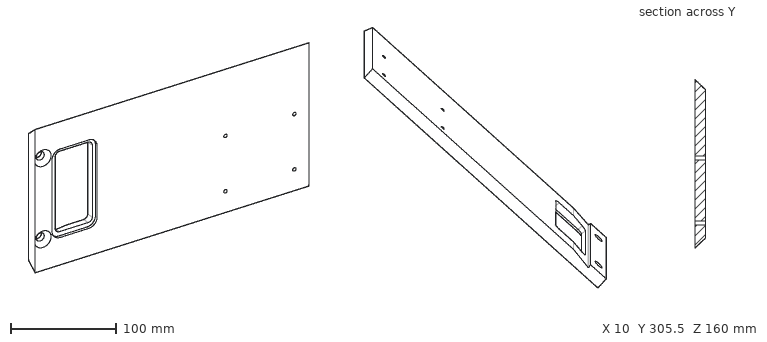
import cadquery as cq
thickness = 10.0
length = 305.5
height = 160.0
bevel_height = 9.5
end_lean = 1.5

front_x = -thickness / 2
back_x = thickness / 2
front_end_y = -length / 2
back_end_y = front_end_y + end_lean

ramp_start_y = -110.3
ramp_end_y = -132.2
ramp_depth = 3.0
ramp_corner_radius = 0.5

window_center_y = -107.5
window_length = 40.5
window_height = 89.5
window_corner_radius = 4.5

rebate_margin = 4.5
rebate_depth = 3.0

mount_hole_y = -142.5
mount_hole_spacing = 90.5
mount_hole_diameter = 9.0
countersink_diameter = 18.3
countersink_angle = 90

pin_hole_diameter = 3.7
pin_pattern_center = (98.0, -25.5)
pin_spacing_y = 76.5
pin_spacing_z = 61.7


def make_panel():
    """Panel with leaning parallel ends and bevelled long edges."""
    front_length = length - end_lean
    side_outline = (
        cq.Workplane("XY")
        .polyline([
            (front_x, front_end_y),
            (back_x, back_end_y),
            (back_x, back_end_y + front_length),
            (front_x, front_end_y + front_length),
        ])
        .close()
        .extrude(height / 2, both=True)
    )
    front_half_height = height / 2 - bevel_height
    end_outline = (
        cq.Workplane("XZ")
        .polyline([
            (front_x, -front_half_height),
            (back_x, -height / 2),
            (back_x, height / 2),
            (front_x, front_half_height),
        ])
        .close()
        .extrude(length, both=True)
    )
    return side_outline.intersect(end_outline)


def make_ramp_cut():
    """Wedge that deepens towards -Y and stops at a square wall with a rounded foot."""
    return (
        cq.Workplane("XY")
        .polyline([
            (front_x, ramp_start_y),
            (front_x + ramp_depth, ramp_end_y),
            (front_x, ramp_end_y),
        ])
        .close()
        .extrude(height / 2, both=True)
        .edges("|Z and >X")
        .fillet(ramp_corner_radius)
    )


def make_window_cut():
    """Rounded rectangle swept through the panel parallel to its leaning ends."""
    lean_plane = cq.Plane(
        origin=(front_x, window_center_y, 0),
        xDir=(-end_lean, thickness, 0),
        normal=(thickness, end_lean, 0),
    )
    return (
        cq.Workplane(lean_plane)
        .rect(window_length, window_height)
        .extrude(2 * thickness, both=True)
        .edges(cq.selectors.ParallelDirSelector(lean_plane.zDir))
        .fillet(window_corner_radius)
    )


def make_window_rebate():
    """Rounded step around the window, sunk into the back face."""
    return (
        cq.Workplane("YZ", origin=(back_x, window_center_y, 0))
        .rect(window_length + 2 * rebate_margin, window_height + 2 * rebate_margin)
        .extrude(-rebate_depth)
        .edges("|X")
        .fillet(window_corner_radius + rebate_margin)
    )


def drill_holes(panel):
    """Mounting holes countersunk from the back, and plain pin holes."""
    back_plane = cq.Workplane("YZ", origin=(back_x, 0, 0))
    mount_points = [(mount_hole_y, side * mount_hole_spacing / 2) for side in (-1, 1)]
    panel = (
        panel.copyWorkplane(back_plane)
        .pushPoints(mount_points)
        .cskHole(mount_hole_diameter, countersink_diameter, countersink_angle)
    )
    pin_holes = (
        back_plane.center(*pin_pattern_center)
        .rarray(pin_spacing_y, pin_spacing_z, 2, 2)
        .circle(pin_hole_diameter / 2)
        .extrude(-thickness)
    )
    return panel.cut(pin_holes)


panel = make_panel().cut(make_ramp_cut()).cut(make_window_cut()).cut(make_window_rebate())
result = drill_holes(panel)